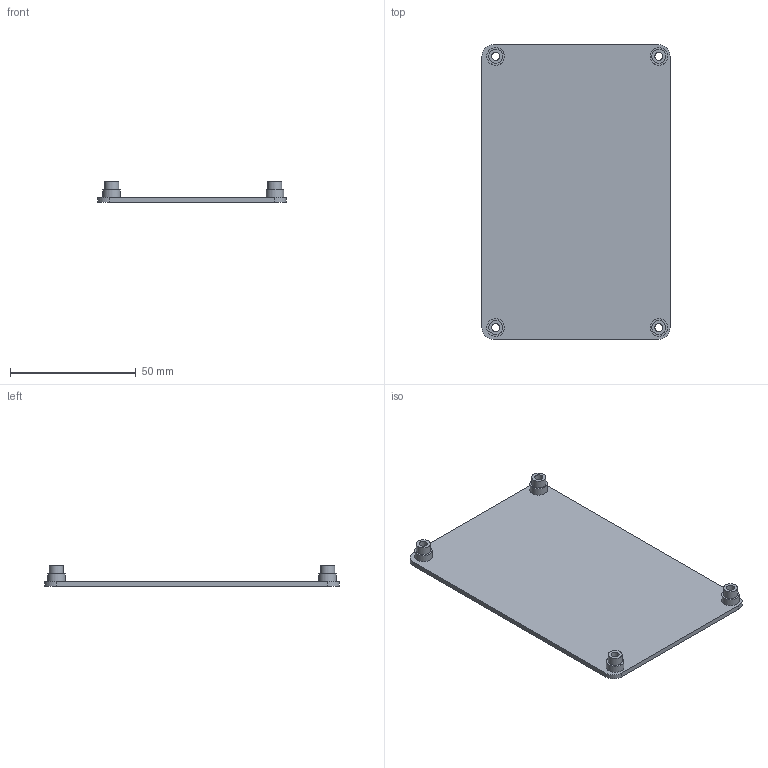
import cadquery as cq

plate_width = 75.0
plate_length = 117.3
plate_thickness = 1.9
corner_radius = 4.5

total_height = 8.15
shoulder_height = 3.0
shoulder_diameter = 7.0
tip_diameter = 5.6
bore_diameter = 3.2

standoff_spacing_x = 65.0
standoff_spacing_y = 108.0
left_margin = 5.5
pattern_center_x = -plate_width / 2 + left_margin + standoff_spacing_x / 2

shoulder_top = plate_thickness + shoulder_height


def cylinders_at_standoffs(diameter, bottom, top):
    """One vertical cylinder at each standoff position."""
    return (
        cq.Workplane("XY", origin=(pattern_center_x, 0, bottom))
        .rect(standoff_spacing_x, standoff_spacing_y, forConstruction=True)
        .vertices()
        .circle(diameter / 2)
        .extrude(top - bottom)
    )


def make_plate():
    """Flat plate with rounded vertical corners."""
    return (
        cq.Workplane("XY")
        .box(plate_width, plate_length, plate_thickness, centered=(True, True, False))
        .edges("|Z")
        .fillet(corner_radius)
    )


shoulders = cylinders_at_standoffs(shoulder_diameter, plate_thickness, shoulder_top)
tips = cylinders_at_standoffs(tip_diameter, shoulder_top, total_height)
bores = cylinders_at_standoffs(bore_diameter, 0, total_height)

result = make_plate().union(shoulders).union(tips).cut(bores)